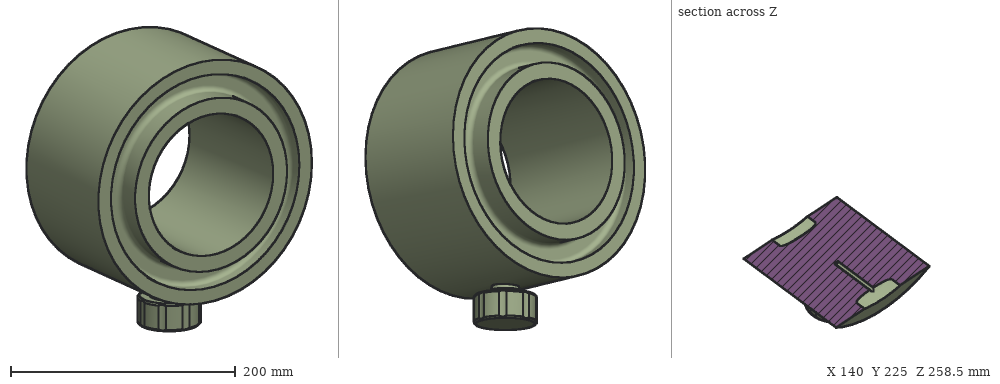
import cadquery as cq
import math

body_diameter = 225.0
body_width = 120.5
sleeve_length = 140.0
sleeve_diameter = 160.0
bore_diameter = 130.8

groove_diameter = 198.3
groove_depth = 15.0
groove_fillet = 5.0

passage_diameter = 4.0
passage_offset = 96.7

overall_height = 258.5
knob_diameter = 56.5
knob_height = 25.8
knob_chamfer = 1.8
flute_count = 8
flute_diameter = 20.0
flute_width = 7.0

cone_base_diameter = 34.6
cone_height = 4.5
neck_diameter = 25.5
neck_tip_diameter = 24.3
collar_height = 0.8
neck_taper_height = 3.0
neck_embed = 2.5

knob_radius = knob_diameter / 2
knob_bottom = body_diameter / 2 - overall_height
knob_top = knob_bottom + knob_height


def make_ring():
    """Body and sleeve with a rounded groove at each end, revolved about X."""
    body_end = body_width / 2
    sleeve_end = sleeve_length / 2
    groove_floor = body_end - groove_depth
    fillet_start = groove_floor + groove_fillet
    body_radius = body_diameter / 2
    groove_radius = groove_diameter / 2
    sleeve_radius = sleeve_diameter / 2
    bore_radius = bore_diameter / 2
    arc_inset = groove_fillet * (1 - math.sqrt(0.5))

    def corner_arc(outline, side, corner_radius, radial_sign, end):
        """Add a fillet arc at the groove floor, on the given side of the body."""
        middle = (side * (groove_floor + arc_inset), corner_radius + radial_sign * arc_inset)
        return outline.threePointArc(middle, end)

    outline = cq.Workplane("XY").moveTo(-sleeve_end, bore_radius)
    outline = outline.lineTo(-sleeve_end, sleeve_radius).lineTo(-fillet_start, sleeve_radius)
    outline = corner_arc(outline, -1, sleeve_radius, 1, (-groove_floor, sleeve_radius + groove_fillet))
    outline = outline.lineTo(-groove_floor, groove_radius - groove_fillet)
    outline = corner_arc(outline, -1, groove_radius, -1, (-fillet_start, groove_radius))
    outline = outline.lineTo(-body_end, groove_radius).lineTo(-body_end, body_radius)
    outline = outline.lineTo(body_end, body_radius).lineTo(body_end, groove_radius)
    outline = outline.lineTo(fillet_start, groove_radius)
    outline = corner_arc(outline, 1, groove_radius, -1, (groove_floor, groove_radius - groove_fillet))
    outline = outline.lineTo(groove_floor, sleeve_radius + groove_fillet)
    outline = corner_arc(outline, 1, sleeve_radius, 1, (fillet_start, sleeve_radius))
    outline = outline.lineTo(sleeve_end, sleeve_radius).lineTo(sleeve_end, bore_radius)
    return outline.close().revolve(360, (0, 0, 0), (1, 0, 0))


def make_passage():
    """Blind round hole from the -X face to the middle of the body."""
    return (
        cq.Workplane("YZ", origin=(0, 0, -passage_offset))
        .circle(passage_diameter / 2)
        .extrude(-body_width / 2)
    )


def make_knob():
    """Chamfered grip with round flutes evenly spaced on its rim."""
    knob = (
        cq.Workplane("XY", origin=(0, 0, knob_bottom))
        .circle(knob_radius)
        .extrude(knob_height)
        .edges()
        .chamfer(knob_chamfer)
    )
    half_width = flute_width / 2
    flute_offset = math.sqrt(knob_radius**2 - half_width**2) + math.sqrt(
        (flute_diameter / 2) ** 2 - half_width**2
    )
    flutes = (
        cq.Workplane("XY", origin=(0, 0, knob_bottom))
        .polarArray(flute_offset, 0, 360, flute_count)
        .circle(flute_diameter / 2)
        .extrude(knob_height)
    )
    return knob.cut(flutes)


def make_neck():
    """Cone, short collar and tapered tip that runs into the body."""
    collar_bottom = knob_top + cone_height
    collar_top = collar_bottom + collar_height
    tip_bottom = collar_top + neck_taper_height
    neck_top = tip_bottom + neck_embed
    return (
        cq.Workplane("XZ")
        .moveTo(0, knob_top)
        .lineTo(cone_base_diameter / 2, knob_top)
        .lineTo(neck_diameter / 2, collar_bottom)
        .lineTo(neck_diameter / 2, collar_top)
        .lineTo(neck_tip_diameter / 2, tip_bottom)
        .lineTo(neck_tip_diameter / 2, neck_top)
        .lineTo(0, neck_top)
        .close()
        .revolve(360, (0, 0, 0), (0, 1, 0))
    )


result = make_ring().cut(make_passage()).union(make_neck()).union(make_knob())